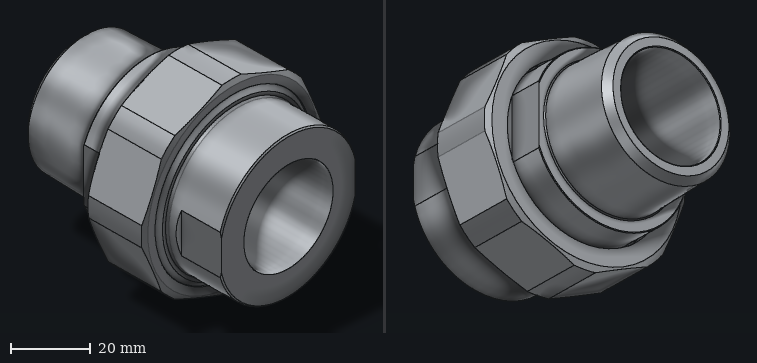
import cadquery as cq
import math


LENGTH = 73.5
BORE_DIAMETER = 32.0

TAIL_TIP_RADIUS = 18.7
TAIL_TAPER_START_RADIUS = 20.7
TAIL_TAPER_END_RADIUS = 21.4
TAIL_CHAMFER_LENGTH = 2.05
TAPER_END = 23.7
NECK_DIAMETER = 43.5
COLLAR_START = 24.0
COLLAR_DIAMETER = 50.0
COLLAR_EDGE_CHAMFER = 0.2
COLLAR_FLATS_WIDTH = 46.3
COLLAR_FLATS_OVERRUN = 1.0
COLLAR_RUN_OUT_ANGLE = 60.0
TAIL_MOUTH_CHAMFER = 0.2

NUT_START = 33.9
NUT_END = 53.95
NUT_SIDES = 8
NUT_CORNER_DIAMETER = 64.7
NUT_ACROSS_FLATS = 62.0
NUT_FACE_RADIUS = 30.5
NUT_FRONT_CHAMFER = 0.7
NUT_BACK_CHAMFER = 0.5
NUT_COLLAR_HOLE_DIAMETER = 51.1
NUT_WALL = 3.7

FLANGE_DIAMETER = 54.4
FLANGE_LENGTH = 4.4
FLANGE_START = NUT_START + NUT_WALL
JOINT = FLANGE_START + FLANGE_LENGTH

SCREW_DIAMETER = 55.85
SCREW_END = 55.0
SCREW_END_CHAMFER = 1.6
BARREL_DIAMETER = 50.0
BARREL_ROOT_DIAMETER = 50.5
BARREL_START = 55.9
BARREL_END_CHAMFER = 0.45
BARREL_FLATS_WIDTH = 48.0
BARREL_FLATS_END = 59.45
BARREL_RUN_OUT_ANGLE = 45.0


def revolve_profile(points):
    """Turn (x, radius) points around the X axis."""
    return cq.Workplane("XY").polyline(points).close().revolve(360, (0, 0, 0), (1, 0, 0))


def cylinder(start, end, diameter):
    return cq.Workplane("YZ", origin=(start, 0, 0)).circle(diameter / 2).extrude(end - start)


def cut_wrench_flats(body, open_end, flat_end, width, diameter, run_out_angle):
    """Cut two flats across Y; past flat_end each one rises to the surface at run_out_angle."""
    flat_y = width / 2
    radius = diameter / 2
    run_out_length = (radius - flat_y) / math.tan(math.radians(run_out_angle))
    run_out = math.copysign(run_out_length, flat_end - open_end)
    cutter = (
        cq.Workplane("XY")
        .polyline([
            (open_end, flat_y),
            (flat_end, flat_y),
            (flat_end + run_out, radius),
            (open_end, radius),
        ])
        .close()
        .extrude(radius, both=True)
    )
    return body.cut(cutter).cut(cutter.mirror("XZ"))


def make_male_tail():
    bore_radius = BORE_DIAMETER / 2
    collar_radius = COLLAR_DIAMETER / 2
    flange_radius = FLANGE_DIAMETER / 2
    tail = revolve_profile([
        (0, bore_radius + TAIL_MOUTH_CHAMFER),
        (0, TAIL_TIP_RADIUS),
        (TAIL_CHAMFER_LENGTH, TAIL_TAPER_START_RADIUS),
        (TAPER_END, TAIL_TAPER_END_RADIUS),
        (COLLAR_START, NECK_DIAMETER / 2),
        (COLLAR_START, collar_radius - COLLAR_EDGE_CHAMFER),
        (COLLAR_START + COLLAR_EDGE_CHAMFER, collar_radius),
        (FLANGE_START, collar_radius),
        (FLANGE_START, flange_radius),
        (JOINT, flange_radius),
        (JOINT, bore_radius),
        (TAIL_MOUTH_CHAMFER, bore_radius),
    ])
    flat_end = NUT_START + COLLAR_FLATS_OVERRUN
    return cut_wrench_flats(
        tail, COLLAR_START, flat_end, COLLAR_FLATS_WIDTH, COLLAR_DIAMETER, COLLAR_RUN_OUT_ANGLE
    )


def make_nut():
    octagon_diameter = NUT_ACROSS_FLATS / math.cos(math.pi / NUT_SIDES)
    prism = (
        cq.Workplane("YZ", origin=(NUT_START, 0, 0))
        .polygon(NUT_SIDES, octagon_diameter)
        .extrude(NUT_END - NUT_START)
    )
    corner_radius = NUT_CORNER_DIAMETER / 2
    envelope = revolve_profile([
        (NUT_START, 0),
        (NUT_START, NUT_FACE_RADIUS),
        (NUT_START + NUT_FRONT_CHAMFER, corner_radius),
        (NUT_END - NUT_BACK_CHAMFER, corner_radius),
        (NUT_END, NUT_FACE_RADIUS),
        (NUT_END, 0),
    ])
    collar_hole = cylinder(NUT_START, FLANGE_START, NUT_COLLAR_HOLE_DIAMETER)
    screw_hole = cylinder(FLANGE_START, NUT_END, SCREW_DIAMETER)
    return prism.intersect(envelope).cut(collar_hole).cut(screw_hole)


def make_female_end():
    bore_radius = BORE_DIAMETER / 2
    screw_radius = SCREW_DIAMETER / 2
    barrel_radius = BARREL_DIAMETER / 2
    female_end = revolve_profile([
        (JOINT, bore_radius),
        (JOINT, screw_radius),
        (SCREW_END - SCREW_END_CHAMFER, screw_radius),
        (SCREW_END, screw_radius - SCREW_END_CHAMFER),
        (SCREW_END, BARREL_ROOT_DIAMETER / 2),
        (BARREL_START, barrel_radius),
        (LENGTH - BARREL_END_CHAMFER, barrel_radius),
        (LENGTH, barrel_radius - BARREL_END_CHAMFER),
        (LENGTH, bore_radius),
    ])
    return cut_wrench_flats(
        female_end, LENGTH, BARREL_FLATS_END, BARREL_FLATS_WIDTH, BARREL_DIAMETER, BARREL_RUN_OUT_ANGLE
    )


male_tail = make_male_tail()
nut = make_nut()
female_end = make_female_end()

result = cq.Compound.makeCompound([male_tail.val(), nut.val(), female_end.val()])